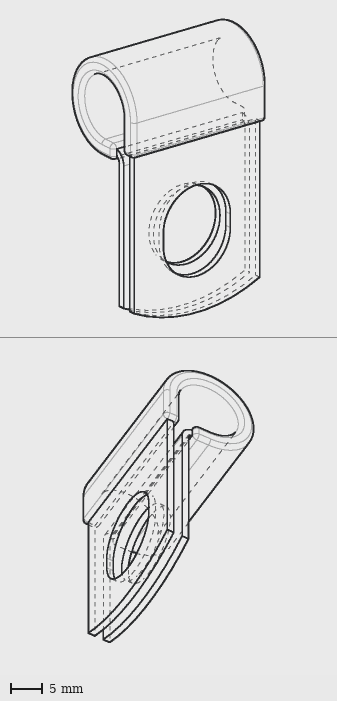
import cadquery as cq
import math

loop_diameter = 16.71
overall_height = 44.86
cushion_length = 26.99

strap_thickness = 1.21
strap_width = 25.4
bend_start_x = 2.5
bend_inner_radius = 1.1
bend_outer_radius = bend_inner_radius + strap_thickness
strap_end_z = loop_diameter / 2 - overall_height
strap_end_radius = 28.6

cushion_cover = (cushion_length - strap_width) / 2
cushion_thickness = strap_thickness + 2 * cushion_cover
cushion_outer_radius = loop_diameter / 2
cushion_inner_radius = cushion_outer_radius - cushion_thickness
cushion_fillet = 0.75
front_lip_length = 2.9
back_lip_length = 6.3

hole_diameter = 13.5
slot_height = 15.875
hole_z = -22.2

strap_outer_radius = cushion_outer_radius - cushion_cover
strap_inner_radius = strap_outer_radius - strap_thickness
front_leg_front_x = bend_start_x + bend_inner_radius
front_leg_back_x = bend_start_x + bend_outer_radius
leg_gap_middle_x = (front_leg_back_x + strap_inner_radius) / 2
bend_center_z = -strap_outer_radius - bend_inner_radius


def arc_middle(radius):
    """Middle of the three-quarter arc that runs from straight below the axis to the back side."""
    return (-radius * math.sqrt(0.5), radius * math.sqrt(0.5))


def trace_loop(outer_radius, inner_radius, back_end_z):
    """Trace a loop wall: outer side, back leg end, then inner side to the bottom of the loop."""
    return (
        cq.Workplane("XZ")
        .moveTo(0, -outer_radius)
        .threePointArc(arc_middle(outer_radius), (outer_radius, 0))
        .lineTo(outer_radius, back_end_z)
        .lineTo(inner_radius, back_end_z)
        .lineTo(inner_radius, 0)
        .threePointArc(arc_middle(inner_radius), (0, -inner_radius))
    )


def make_cushion():
    profile = (
        trace_loop(cushion_outer_radius, cushion_inner_radius, -back_lip_length)
        .lineTo(front_lip_length, -cushion_inner_radius)
        .lineTo(front_lip_length, -cushion_outer_radius)
        .close()
    )
    return profile.extrude(cushion_length / 2, both=True).edges().fillet(cushion_fillet)


def make_bent_strap():
    """Strap of even thickness: loop, back leg, and front leg bent down past the cushion."""
    profile = (
        trace_loop(strap_outer_radius, strap_inner_radius, strap_end_z)
        .lineTo(bend_start_x, -strap_inner_radius)
        .radiusArc((front_leg_back_x, bend_center_z), bend_outer_radius)
        .lineTo(front_leg_back_x, strap_end_z)
        .lineTo(front_leg_front_x, strap_end_z)
        .lineTo(front_leg_front_x, bend_center_z)
        .radiusArc((bend_start_x, -strap_outer_radius), -bend_inner_radius)
        .close()
    )
    return profile.extrude(strap_width / 2, both=True)


def make_leg_outline():
    """Flat shape of the strap seen along X: square top and curved lower end."""
    half_width = strap_width / 2
    end_sagitta = strap_end_radius - math.sqrt(strap_end_radius**2 - half_width**2)
    corner_z = strap_end_z + end_sagitta
    return (
        cq.Workplane("YZ")
        .moveTo(-half_width, cushion_outer_radius)
        .lineTo(-half_width, corner_z)
        .threePointArc((0, strap_end_z), (half_width, corner_z))
        .lineTo(half_width, cushion_outer_radius)
        .close()
        .extrude(cushion_outer_radius, both=True)
    )


def make_front_hole():
    """Cutter for the round hole, from the loop axis to the middle of the gap between the legs."""
    return (
        cq.Workplane("YZ")
        .center(0, hole_z)
        .circle(hole_diameter / 2)
        .extrude(leg_gap_middle_x)
    )


def make_back_slot():
    """Cutter for the slot, from the middle of the gap to the outside of the cushion."""
    return (
        cq.Workplane("YZ", origin=(leg_gap_middle_x, 0, 0))
        .center(0, hole_z)
        .slot2D(slot_height, hole_diameter, 90)
        .extrude(cushion_outer_radius - leg_gap_middle_x)
    )


strap = make_bent_strap().intersect(make_leg_outline())
strap = strap.cut(make_front_hole()).cut(make_back_slot())
result = make_cushion().union(strap)